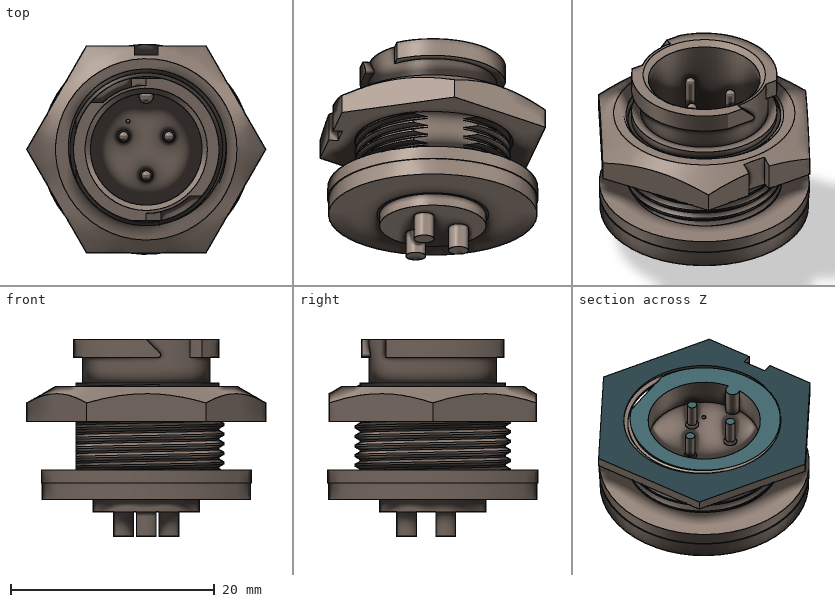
import cadquery as cq
import math

TOP = 12.81
BAYONET_BOTTOM = TOP - 1.78
SHOULDER = TOP - 4.31
NUT_BOTTOM = 4.73
NUT_HEIGHT = 3.47
NUT_TOP = NUT_BOTTOM + NUT_HEIGHT
GASKET_THICKNESS = 1.29
FLANGE_TOP = -GASKET_THICKNESS
FLANGE_THICKNESS = 1.63
FLANGE_BOTTOM = FLANGE_TOP - FLANGE_THICKNESS
SPIGOT_BOTTOM = FLANGE_BOTTOM - 1.20
TAIL_BOTTOM = SPIGOT_BOTTOM - 2.41
SOCKET_FLOOR = 3.0
PIN_TIP_CENTRE = TOP - 2.44
KEY_TIP_CENTRE = TOP - 1.54

FLANGE_RADIUS = 10.235
CORE_RADIUS = 7.14
CORE_FLAT_X = -6.91
NECK_RADIUS = 6.28
BORE_RADIUS = 5.48
BORE_CHAMFER = 0.52
KEY_RADIUS = 0.70
KEY_Y = 5.21

RING_FLAT_Y = 6.97
GAP_END_Y = 4.60
RAMP_TIP_RADIUS = 0.25

PITCH = 25.4 / 27
FLANK_TANGENT = math.tan(math.radians(30))
THREAD_RADIUS = 15.24 / 2
THREAD_CREST_WIDTH = 0.20
THREAD_TURNS = 9
THREAD_END_ANGLE = -80
THREAD_END_Z = SHOULDER - 0.50
THREAD_EMBED = 0.10

NUT_ACROSS_FLATS = 20.32
NUT_FACE_RADIUS = 8.90
NUT_CHAMFER_ANGLE = 30
NUT_BORE_RADIUS = 7.50
NUT_GROOVE_RADIUS = 7.88
NUT_GROOVE_ROOT_WIDTH = 0.30
NUT_GROOVE_ANGLE = 70
NUT_GROOVE_TURNS = 6
NOTCH_WIDTH = 2.35
NOTCH_FLOOR_Y = 9.26

GASKET_RADIUS = 10.31

SPIGOT_RADIUS = 5.22
PIN_CIRCLE_RADIUS = 2.56
PIN_ANGLES = (30, 150, 270)
PIN_RADIUS = 0.47
PIN_FOOT_RADIUS = 0.64
PIN_FOOT_HEIGHT = 0.30
TAIL_RADIUS = 0.975
PIP_RADIUS = 0.19
PIP_CENTRE = (-1.79, 2.75)


def cylinder(radius, bottom, top, centre=(0, 0)):
    return cq.Workplane("XY", origin=(*centre, bottom)).circle(radius).extrude(top - bottom)


def domed_post(radius, bottom, tip_centre, centre):
    """Round post that ends in a half ball centred at the level tip_centre."""
    ball = cq.Workplane("XY", origin=(*centre, tip_centre)).sphere(radius)
    return cylinder(radius, bottom, tip_centre, centre).union(ball)


def cut_flat(body, bottom, top):
    """Keep the part of body between two levels that lies inside the flat on the -X side."""
    span = 4 * THREAD_RADIUS
    keep = cq.Workplane("XY", origin=(CORE_FLAT_X + span / 2, 0, bottom)).rect(span, span)
    return body.intersect(keep.extrude(top - bottom))


def d_section(bottom, top):
    """Thread core with its flat."""
    return cut_flat(cylinder(CORE_RADIUS, bottom, top), bottom, top)


def helical_ridge(inner_radius, outer_radius, outer_width, turns, start_z, start_angle):
    """Right-handed trapezoid ridge with 60 degree flanks, narrowest at outer_radius."""
    outer_half = outer_width / 2
    inner_half = outer_half + (outer_radius - inner_radius) * FLANK_TANGENT
    helix = cq.Wire.makeHelix(PITCH, turns * PITCH, inner_radius)
    ridge = (
        cq.Workplane("XZ")
        .moveTo(inner_radius, -inner_half)
        .lineTo(outer_radius, -outer_half)
        .lineTo(outer_radius, outer_half)
        .lineTo(inner_radius, inner_half)
        .close()
        .sweep(cq.Workplane(obj=helix), isFrenet=True)
    )
    return ridge.rotate((0, 0, 0), (0, 0, 1), start_angle).translate((0, 0, start_z))


def shell_thread():
    """External thread, cut off at the gasket face and at the flat."""
    start_z = THREAD_END_Z - THREAD_TURNS * PITCH
    ridge = helical_ridge(
        CORE_RADIUS - THREAD_EMBED, THREAD_RADIUS, THREAD_CREST_WIDTH,
        THREAD_TURNS, start_z, THREAD_END_ANGLE,
    )
    return cut_flat(ridge, 0, SHOULDER)


def bayonet_gap():
    """Entry gap on the -Y side: a 45 degree ramp with a rounded tip, closed at y = -GAP_END_Y."""
    ring_height = TOP - BAYONET_BOTTOM
    tip_x = ring_height - RAMP_TIP_RADIUS * (1 + math.sqrt(2))
    tip_z = BAYONET_BOTTOM + RAMP_TIP_RADIUS

    def tip_point(angle):
        x = tip_x + RAMP_TIP_RADIUS * math.cos(math.radians(angle))
        z = tip_z + RAMP_TIP_RADIUS * math.sin(math.radians(angle))
        return x, z

    return (
        cq.Workplane("XZ", origin=(0, -GAP_END_Y, 0))
        .moveTo(0, TOP)
        .lineTo(*tip_point(45))
        .threePointArc(tip_point(-22.5), tip_point(-90))
        .lineTo(CORE_RADIUS, BAYONET_BOTTOM)
        .lineTo(CORE_RADIUS, TOP)
        .close()
        .extrude(CORE_RADIUS)
    )


def bayonet_ring():
    ring = cylinder(CORE_RADIUS, BAYONET_BOTTOM, TOP)
    flats = cq.Workplane("XY", origin=(0, 0, BAYONET_BOTTOM)).rect(4 * CORE_RADIUS, 2 * RING_FLAT_Y)
    ring = ring.intersect(flats.extrude(TOP - BAYONET_BOTTOM))
    gap = bayonet_gap()
    for angle in (0, 180):
        ring = ring.cut(gap.rotate((0, 0, 0), (0, 0, 1), angle))
    return ring


def make_shell():
    shell = cylinder(FLANGE_RADIUS, FLANGE_BOTTOM, FLANGE_TOP)
    shell = shell.union(d_section(FLANGE_TOP, SHOULDER))
    shell = shell.union(cylinder(NECK_RADIUS, SHOULDER, TOP)).union(bayonet_ring())
    shell = shell.cut(cylinder(BORE_RADIUS, FLANGE_BOTTOM, TOP))
    mouth = cq.Workplane("XY", origin=(0, 0, TOP)).circle(BORE_RADIUS + BORE_CHAMFER)
    shell = shell.cut(mouth.extrude(-BORE_RADIUS - BORE_CHAMFER, taper=45))
    key = domed_post(KEY_RADIUS, SOCKET_FLOOR, KEY_TIP_CENTRE, (0, KEY_Y))
    return shell.union(key).union(shell_thread())


def make_gasket():
    return cylinder(GASKET_RADIUS, FLANGE_TOP, 0).cut(d_section(FLANGE_TOP, 0))


def make_nut():
    corner_radius = NUT_ACROSS_FLATS / math.sqrt(3)
    nut = cq.Workplane("XY", origin=(0, 0, NUT_BOTTOM)).polygon(6, 2 * corner_radius).extrude(NUT_HEIGHT)
    chamfer_drop = (corner_radius - NUT_FACE_RADIUS) * math.tan(math.radians(NUT_CHAMFER_ANGLE))
    envelope = (
        cq.Workplane("XZ")
        .moveTo(0, NUT_BOTTOM)
        .lineTo(corner_radius, NUT_BOTTOM)
        .lineTo(corner_radius, NUT_TOP - chamfer_drop)
        .lineTo(NUT_FACE_RADIUS, NUT_TOP)
        .lineTo(0, NUT_TOP)
        .close()
        .revolve(360, (0, 0, 0), (0, 1, 0))
    )
    nut = nut.intersect(envelope).cut(cylinder(NUT_BORE_RADIUS, NUT_BOTTOM, NUT_TOP))
    notch = cq.Workplane("XY", origin=(0, NUT_ACROSS_FLATS / 2, NUT_BOTTOM))
    notch_depth = NUT_ACROSS_FLATS / 2 - NOTCH_FLOOR_Y
    nut = nut.cut(notch.rect(NOTCH_WIDTH, 2 * notch_depth).extrude(NUT_HEIGHT))
    groove_start = NUT_TOP - (NUT_GROOVE_TURNS - 1) * PITCH
    return nut.cut(helical_ridge(
        NUT_BORE_RADIUS - THREAD_EMBED, NUT_GROOVE_RADIUS, NUT_GROOVE_ROOT_WIDTH,
        NUT_GROOVE_TURNS, groove_start, NUT_GROOVE_ANGLE,
    ))


def contact_pin(centre):
    """Pin with a round tip, a conical foot on the socket floor and a thicker solder tail."""
    pin = domed_post(PIN_RADIUS, SOCKET_FLOOR, PIN_TIP_CENTRE, centre)
    foot = cq.Workplane(cq.Solid.makeCone(
        PIN_FOOT_RADIUS, PIN_RADIUS, PIN_FOOT_HEIGHT, cq.Vector(*centre, SOCKET_FLOOR),
    ))
    return pin.union(foot).union(cylinder(TAIL_RADIUS, TAIL_BOTTOM, SPIGOT_BOTTOM, centre))


def make_insert():
    """Insulator that fills the bore, joined with its three contacts."""
    insert = cylinder(BORE_RADIUS, FLANGE_BOTTOM, SOCKET_FLOOR)
    insert = insert.union(cylinder(SPIGOT_RADIUS, SPIGOT_BOTTOM, FLANGE_BOTTOM))
    for angle in PIN_ANGLES:
        x = PIN_CIRCLE_RADIUS * math.cos(math.radians(angle))
        y = PIN_CIRCLE_RADIUS * math.sin(math.radians(angle))
        insert = insert.union(contact_pin((x, y)))
    return insert.union(cq.Workplane("XY", origin=(*PIP_CENTRE, SOCKET_FLOOR)).sphere(PIP_RADIUS))


shell = make_shell()
gasket = make_gasket()
nut = make_nut()
insert = make_insert()

result = cq.Compound.makeCompound([body.solids().val() for body in (shell, gasket, nut, insert)])